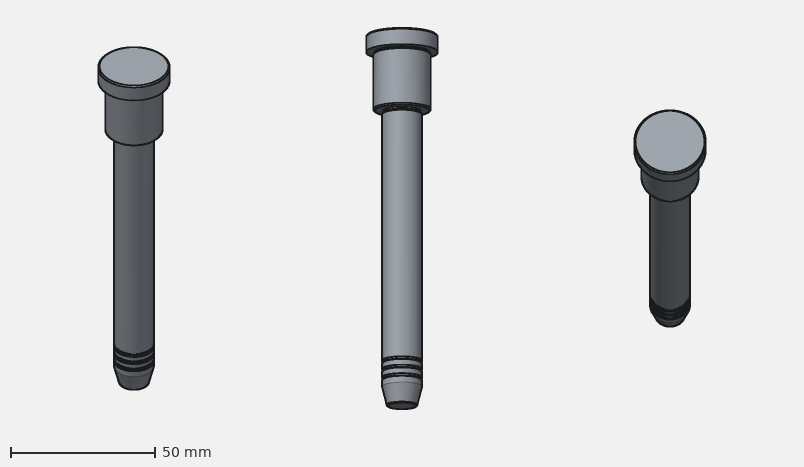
import cadquery as cq

length = 132.0
head_diameter = 25.0
shoulder_diameter = 20.0
shank_diameter = 14.0
tip_diameter = 10.7

head_height = 6.0
shoulder_length = 20.9
tip_length = 7.0

head_chamfer = 0.5
shoulder_chamfer = 0.5
tip_chamfer = 0.4

relief_depth = 0.5
head_relief_width = 0.4
shank_relief_width = 0.7
shank_relief_taper = 0.7

groove_count = 3
groove_width = 1.0
groove_depth = 0.4
groove_taper = 0.4
groove_pitch = 3.0
first_groove_bottom = 9.1

head_bottom = length - head_height
shoulder_bottom = head_bottom - shoulder_length


def cylinder(diameter, bottom, top):
    """Solid cylinder on the Z axis between two heights."""
    return cq.Workplane("XY").workplane(offset=bottom).circle(diameter / 2).extrude(top - bottom)


def make_head():
    head = cylinder(head_diameter, head_bottom, length)
    return head.faces(">Z").edges().chamfer(head_chamfer)


def make_shoulder():
    """Chamfered shoulder hung from the head by a slightly narrower neck."""
    shoulder_top = head_bottom - head_relief_width
    body = cylinder(shoulder_diameter, shoulder_bottom, shoulder_top)
    body = body.edges().chamfer(shoulder_chamfer)
    neck_diameter = shoulder_diameter - 2 * relief_depth
    return body.union(cylinder(neck_diameter, shoulder_top, head_bottom))


def make_shank():
    """Revolved shank with a tapered tip and a conical relief at its upper end."""
    shank_radius = shank_diameter / 2
    tip_radius = tip_diameter / 2
    neck_radius = shank_radius - relief_depth
    taper_top = shoulder_bottom - shank_relief_width
    profile = [
        (0, 0),
        (tip_radius - tip_chamfer, 0),
        (tip_radius, tip_chamfer),
        (shank_radius, tip_length),
        (shank_radius, taper_top - shank_relief_taper),
        (neck_radius, taper_top),
        (neck_radius, shoulder_bottom),
        (0, shoulder_bottom),
    ]
    return cq.Workplane("XZ").polyline(profile).close().revolve(360, (0, 0), (0, 1))


def make_ring_groove(bottom):
    """Ring of material to remove, with a square upper side and a conical lower side."""
    floor_radius = shank_diameter / 2 - groove_depth
    outer_radius = shank_diameter / 2 + groove_depth
    profile = [
        (floor_radius, bottom + groove_taper),
        (floor_radius, bottom + groove_width),
        (outer_radius, bottom + groove_width),
        (outer_radius, bottom),
        (shank_diameter / 2, bottom),
    ]
    return cq.Workplane("XZ").polyline(profile).close().revolve(360, (0, 0), (0, 1))


result = make_shank().union(make_shoulder()).union(make_head())
for index in range(groove_count):
    result = result.cut(make_ring_groove(first_groove_bottom + index * groove_pitch))